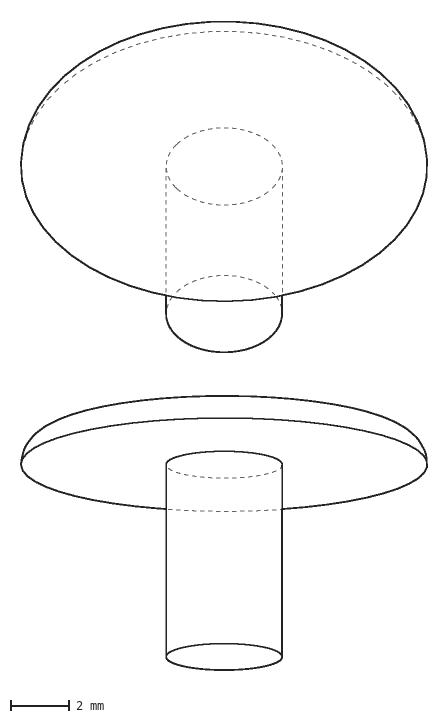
import cadquery as cq
import math

head_diameter = 14.0
total_height = 8.4
stem_diameter = 4.0
stem_length = 6.8
rim_radius = 1.0

head_radius = head_diameter / 2
stem_radius = stem_diameter / 2
head_height = total_height - stem_length

rim_center_x = head_radius - rim_radius
dome_radius = (rim_center_x**2 + head_height**2 - rim_radius**2) / (2 * (head_height - rim_radius))
dome_center_z = total_height - dome_radius
tangent_angle = math.asin(rim_center_x / (dome_radius - rim_radius))


def rim_point(angle):
    """Point on the rim arc at an angle from the vertical axis."""
    return (
        rim_center_x + rim_radius * math.sin(angle),
        stem_length + rim_radius * math.cos(angle),
    )


def dome_point(angle):
    """Point on the dome arc at an angle from the vertical axis."""
    return (dome_radius * math.sin(angle), dome_center_z + dome_radius * math.cos(angle))


profile = (
    cq.Workplane("XZ")
    .moveTo(0, 0)
    .lineTo(stem_radius, 0)
    .lineTo(stem_radius, stem_length)
    .lineTo(head_radius, stem_length)
    .threePointArc(rim_point((tangent_angle + math.pi / 2) / 2), rim_point(tangent_angle))
    .threePointArc(dome_point(tangent_angle / 2), (0, total_height))
    .close()
)
result = profile.revolve(360, (0, 0, 0), (0, 1, 0))